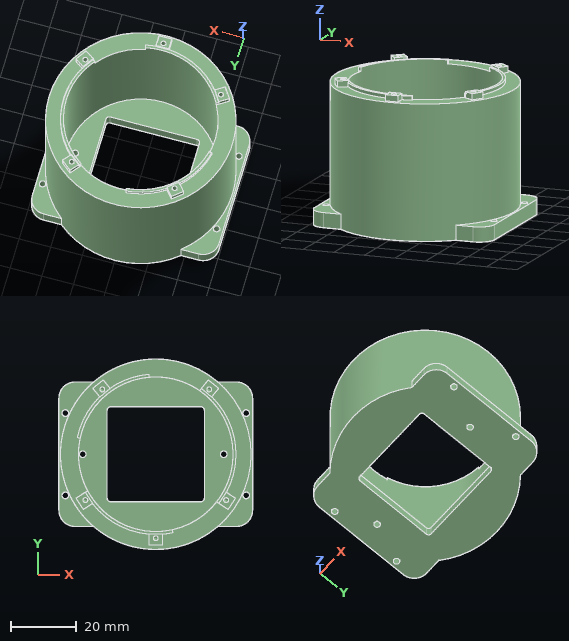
import cadquery as cq
import math

housing_diameter = 58.0
bore_diameter = 47.0
total_height = 45.0
block_height = 1.95
housing_height = total_height - block_height

flange_length = 59.0
flange_width = 44.0
flange_thickness = 4.8
flange_corner_radius = 5.0
flange_hole_spacing_x = 55.0
flange_hole_spacing_y = 25.0
screw_hole_diameter = 1.95

window_length = 29.5
window_width = 28.8
window_corner_radius = 1.0
floor_hole_spacing = 42.9
floor_hole_center_x = -0.75

rim_thickness = 0.9
rim_height = 1.25
rim_outer_radius = bore_diameter / 2 + rim_thickness

block_width = 4.1
block_inner_radius = 24.25
block_outer_radius = 27.6
pilot_radial_position = 25.55
pilot_diameter = 1.5
pilot_depth = 4.0
pilot_tip_angle = 118.0

upper_right_block = 50.5
upper_left_block = 180 - upper_right_block
lower_left_block = 213.1
lower_right_block = 540 - lower_left_block
bottom_block = 270.0
block_angles = [upper_right_block, upper_left_block, lower_left_block, bottom_block, lower_right_block]

block_half_angle = math.degrees(math.asin(block_width / 2 / rim_outer_radius))
rim_segments = [
    (95.0, 168.0),
    (lower_left_block - block_half_angle, 282.3),
    (lower_right_block - block_half_angle, 360 + upper_right_block + block_half_angle),
]


def polar_point(radius, angle):
    """Point in the XY plane at a radius and an angle in degrees."""
    return (radius * math.cos(math.radians(angle)), radius * math.sin(math.radians(angle)))


def make_body():
    """Solid cylinder standing on a rounded mounting plate."""
    flange = (
        cq.Workplane("XY")
        .rect(flange_length, flange_width)
        .extrude(flange_thickness)
        .edges("|Z")
        .fillet(flange_corner_radius)
    )
    cylinder = cq.Workplane("XY").circle(housing_diameter / 2).extrude(housing_height)
    return flange.union(cylinder)


def make_bore():
    """Bore from the floor up through the top of the rim."""
    return (
        cq.Workplane("XY", origin=(0, 0, flange_thickness))
        .circle(bore_diameter / 2)
        .extrude(total_height - flange_thickness)
    )


def make_floor_openings():
    """Window and the screw holes through the floor and the flange."""
    window = (
        cq.Workplane("XY")
        .rect(window_length, window_width)
        .extrude(flange_thickness)
        .edges("|Z")
        .fillet(window_corner_radius)
    )
    flange_holes = (
        cq.Workplane("XY")
        .rect(flange_hole_spacing_x, flange_hole_spacing_y, forConstruction=True)
        .vertices()
        .circle(screw_hole_diameter / 2)
        .extrude(flange_thickness)
    )
    floor_holes = (
        cq.Workplane("XY", origin=(floor_hole_center_x, 0, 0))
        .rarray(floor_hole_spacing, 0.6, 2, 1)
        .circle(screw_hole_diameter / 2)
        .extrude(flange_thickness)
    )
    return window.union(flange_holes).union(floor_holes)


def make_rim_segment(start, end):
    """Pie slice between two angles, which the bore later reduces to a stretch of rim."""
    middle = (start + end) / 2
    return (
        cq.Workplane("XY", origin=(0, 0, housing_height))
        .lineTo(*polar_point(rim_outer_radius, start))
        .threePointArc(polar_point(rim_outer_radius, middle), polar_point(rim_outer_radius, end))
        .close()
        .extrude(rim_height)
    )


def make_block(angle):
    """Screw block turned to face the axis."""
    length = block_outer_radius - block_inner_radius
    return (
        cq.Workplane("XY", origin=(0, 0, housing_height))
        .center(block_inner_radius + length / 2, 0)
        .rect(length, block_width)
        .extrude(block_height)
        .rotate((0, 0, 0), (0, 0, 1), angle)
    )


def make_pilot_hole(angle):
    """Blind drilled hole with a conical bottom, down from the top of a block."""
    radius = pilot_diameter / 2
    tip_length = radius / math.tan(math.radians(pilot_tip_angle / 2))
    x, y = polar_point(pilot_radial_position, angle)
    return (
        cq.Workplane("XZ", origin=(x, y, total_height))
        .polyline([(0, 0), (radius, 0), (radius, -pilot_depth), (0, -pilot_depth - tip_length)])
        .close()
        .revolve(360, (0, 0, 0), (0, 1, 0))
    )


result = make_body()

for start_angle, end_angle in rim_segments:
    result = result.union(make_rim_segment(start_angle, end_angle))

for block_angle in block_angles:
    result = result.union(make_block(block_angle))

result = result.cut(make_bore()).cut(make_floor_openings())

for block_angle in block_angles:
    result = result.cut(make_pilot_hole(block_angle))